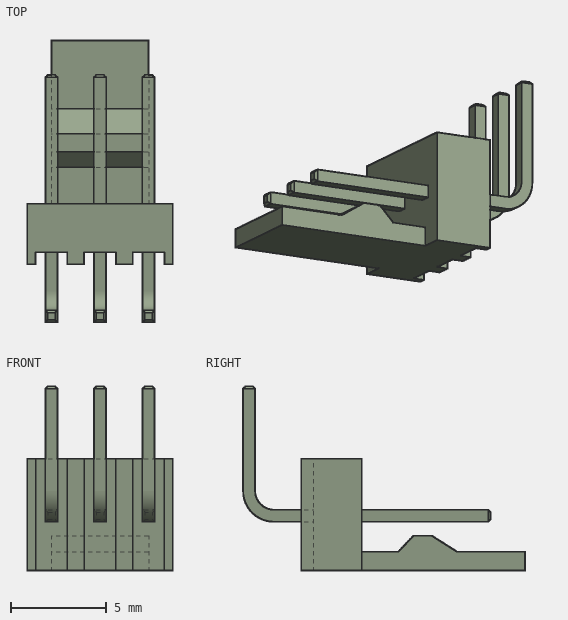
import cadquery as cq


pitch = 2.54
pin_count = 3
row_width = pin_count * pitch
pin_positions = [(i - (pin_count - 1) / 2) * pitch for i in range(pin_count)]

housing_depth = 3.17
housing_height = 5.85
recess_width = 1.65
recess_depth = 0.62

tongue_length = 8.53
tongue_width = (pin_count - 1) * pitch
tongue_thickness = 1.0
tongue_end = housing_depth + tongue_length

ramp_top = 1.83
ramp_lead_start = 3.56
ramp_crest_start = 4.87
ramp_crest_end = 5.83
ramp_heel_end = 6.62

pin_size = 0.64
pin_center_height = 2.87
pin_top = 9.64
pin_rear_reach = 3.04
pin_setback = 1.8
bend_outer_radius = 1.62
bend_inner_radius = bend_outer_radius - pin_size
tip_chamfer = 0.13


def make_housing():
    """Block with a full-height recess in its rear face behind each pin."""
    block = cq.Workplane("XY").box(
        row_width, housing_depth, housing_height, centered=(True, False, False)
    )
    recesses = (
        cq.Workplane("XY")
        .pushPoints([(x, recess_depth / 2) for x in pin_positions])
        .rect(recess_width, recess_depth)
        .extrude(housing_height)
    )
    return block.cut(recesses)


def make_tongue():
    """Flat tongue with a trapezoidal locking ramp across its upper face."""
    profile = [
        (housing_depth, 0),
        (tongue_end, 0),
        (tongue_end, tongue_thickness),
        (tongue_end - ramp_lead_start, tongue_thickness),
        (tongue_end - ramp_crest_start, ramp_top),
        (tongue_end - ramp_crest_end, ramp_top),
        (tongue_end - ramp_heel_end, tongue_thickness),
        (housing_depth, tongue_thickness),
    ]
    return cq.Workplane("YZ").polyline(profile).close().extrude(tongue_width / 2, both=True)


def make_pin(x):
    """Square pin running along Y and bent upward behind the housing."""
    front = tongue_end - pin_setback
    rear = -pin_rear_reach
    bottom = pin_center_height - pin_size / 2
    bend_y = rear + bend_outer_radius
    bend_z = bottom + bend_outer_radius
    pin = (
        cq.Workplane("YZ", origin=(x, 0, 0))
        .moveTo(front, bottom)
        .lineTo(bend_y, bottom)
        .radiusArc((rear, bend_z), bend_outer_radius)
        .lineTo(rear, pin_top)
        .lineTo(rear + pin_size, pin_top)
        .lineTo(rear + pin_size, bend_z)
        .radiusArc((bend_y, bottom + pin_size), -bend_inner_radius)
        .lineTo(front, bottom + pin_size)
        .close()
        .extrude(pin_size / 2, both=True)
    )
    return pin.faces(">Z or >Y").chamfer(tip_chamfer)


result = make_housing().union(make_tongue())
for pin_x in pin_positions:
    result = result.union(make_pin(pin_x))